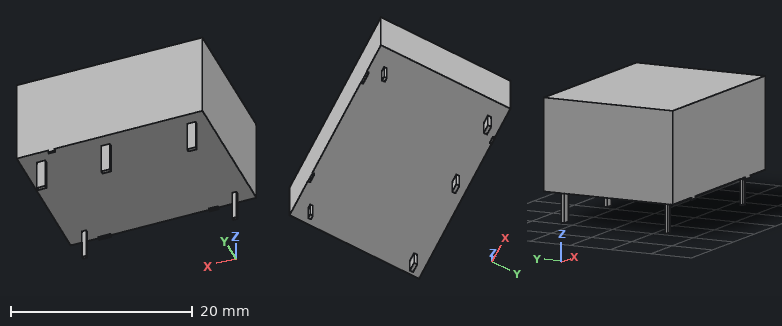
import cadquery as cq

body_length = 22.0
body_width = 16.01
overall_height = 14.2
pin_length = 3.65
body_height = overall_height - pin_length

front_row_y = -6.38
back_row_y = 6.35
pin_span = 17.78
middle_pin_offset = 10.16
first_pin_x = -9.1
middle_pin_x = first_pin_x + middle_pin_offset
last_pin_x = first_pin_x + pin_span

front_pin_section = (0.5, 0.35)
back_pin_section = (1.0, 0.4)

foot_height = 0.25
foot_depth = 0.25

front_feet = [(-6.0, 1.05), (6.9, 1.4)]
back_feet = [(6.9, 0.75)]


def make_body():
    return cq.Workplane("XY").box(
        body_length, body_width, body_height, centered=(True, True, False)
    )


def make_hanging_block(x, y, section, drop):
    """Rectangular block hanging from the underside of the housing."""
    return cq.Workplane("XY").center(x, y).rect(*section).extrude(-drop)


def make_pin_row(x_positions, y, section):
    return [make_hanging_block(x, y, section, pin_length) for x in x_positions]


def make_foot_row(feet, side):
    """Feet on one long edge (side: -1 front, 1 back), flush with the wall."""
    y = side * (body_width - foot_depth) / 2
    return [make_hanging_block(x, y, (length, foot_depth), foot_height) for x, length in feet]


front_pins = make_pin_row([first_pin_x, last_pin_x], front_row_y, front_pin_section)
back_pins = make_pin_row(
    [first_pin_x, middle_pin_x, last_pin_x], back_row_y, back_pin_section
)

feet = make_foot_row(front_feet, -1) + make_foot_row(back_feet, 1)

result = make_body()
for block in front_pins + back_pins + feet:
    result = result.union(block)
result = result.clean()